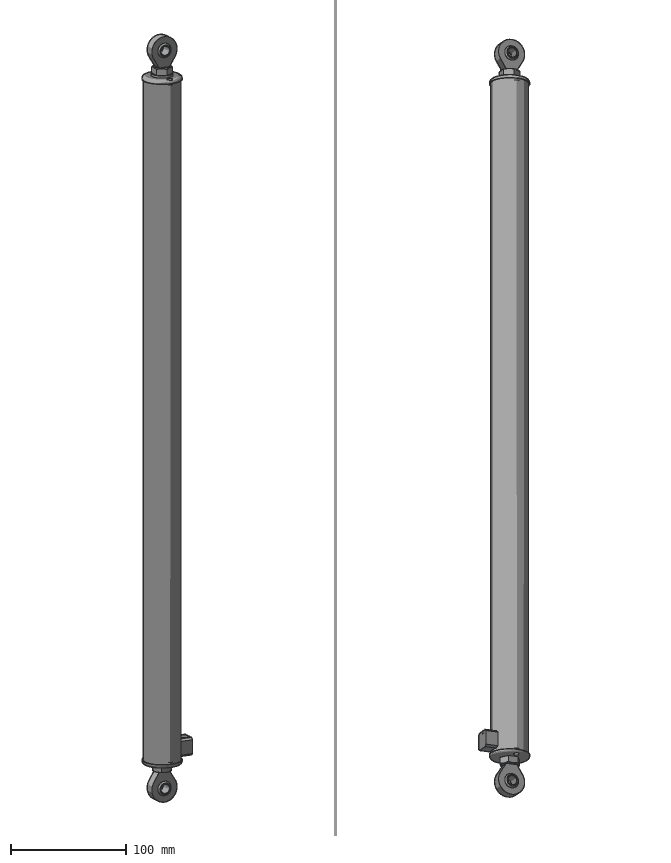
import cadquery as cq
import math

HALF_LENGTH = 344.5
SEAT_Z = 311.0

TUBE_RADIUS = 16.5
CAP_RADIUS = 17.6
CAP_THICKNESS = 3.5
CAP_FILLET = 3.0
GLAND_RADIUS = 9.5
GLAND_HEIGHT = 2.0
CAP_TOP_Z = SEAT_Z - GLAND_HEIGHT

SPANNER_HOLE_DIAMETER = 5.0
SPANNER_HOLE_DEPTH = 5.0
SPANNER_HOLE_OFFSET = 14.1

PORT_SIZE = 16.0
PORT_REACH = 25.8
PORT_CHAMFER = 1.7
PORT_Z = -297.0
PORT_HOLE_Y = 21.5
PORT_HOLE_STEPS = [(8.0, 2.0), (5.0, 4.0), (2.5, 7.0)]

NUT_FLATS = 16.0
NUT_HEIGHT = 6.0
NUT_TOP_RADIUS = 7.5
NUT_CHAMFER_ANGLE = 30
EYE_RADIUS = 12.5
EYE_THICKNESS = 9.0
NECK_WIDTH = 10.0
BALL_WIDTH = 12.0
BALL_FACE_DIAMETER = 10.0
BORE_DIAMETER = 8.0
EYE_Z = HALF_LENGTH - EYE_RADIUS
NUT_TOP_Z = SEAT_Z + NUT_HEIGHT


def disc(radius, bottom_z, height):
    """Solid cylinder on the Z axis."""
    return cq.Workplane("XY").workplane(offset=bottom_z).circle(radius).extrude(height)


def eye_plate():
    """Flat eye whose sides run tangentially from the round head down to the neck."""
    half_neck = NECK_WIDTH / 2
    neck_drop = EYE_Z - NUT_TOP_Z
    neck_distance = math.hypot(half_neck, neck_drop)
    tangent_angle = math.acos(EYE_RADIUS / neck_distance) - math.atan2(neck_drop, half_neck)
    tangent_y = EYE_RADIUS * math.cos(tangent_angle)
    tangent_z = EYE_RADIUS * math.sin(tangent_angle)
    return (
        cq.Workplane("YZ", origin=(0, 0, EYE_Z))
        .moveTo(-half_neck, -neck_drop)
        .lineTo(half_neck, -neck_drop)
        .lineTo(tangent_y, tangent_z)
        .threePointArc((0, EYE_RADIUS), (-tangent_y, tangent_z))
        .close()
        .extrude(EYE_THICKNESS / 2, both=True)
    )


def bearing_ball():
    """Ball with flat ends and a bore, turned about the X axis of the eye."""
    half_width = BALL_WIDTH / 2
    face_radius = BALL_FACE_DIAMETER / 2
    bore_radius = BORE_DIAMETER / 2
    ball_radius = math.hypot(half_width, face_radius)
    return (
        cq.Workplane("XY")
        .moveTo(-half_width, bore_radius)
        .lineTo(-half_width, face_radius)
        .threePointArc((0, ball_radius), (half_width, face_radius))
        .lineTo(half_width, bore_radius)
        .close()
        .revolve(360, (0, 0, 0), (1, 0, 0))
        .translate((0, 0, EYE_Z))
    )


def eye():
    """Eye plate and bearing ball with the bore through both."""
    bore = (
        cq.Workplane("YZ", origin=(0, 0, EYE_Z))
        .circle(BORE_DIAMETER / 2)
        .extrude(BALL_WIDTH, both=True)
    )
    return eye_plate().cut(bore).union(bearing_ball())


def nut():
    """Hexagon nut with chamfered top corners, two of its corners pointing along X."""
    hexagon = (
        cq.Workplane("XY")
        .workplane(offset=SEAT_Z)
        .polygon(6, NUT_FLATS, circumscribed=True)
        .extrude(NUT_HEIGHT)
        .rotate((0, 0, 0), (0, 0, 1), 90)
    )
    rim_radius = NUT_FLATS
    rim_drop = (rim_radius - NUT_TOP_RADIUS) * math.tan(math.radians(NUT_CHAMFER_ANGLE))
    chamfer_envelope = (
        cq.Workplane("XZ")
        .moveTo(0, SEAT_Z)
        .lineTo(rim_radius, SEAT_Z)
        .lineTo(rim_radius, NUT_TOP_Z - rim_drop)
        .lineTo(NUT_TOP_RADIUS, NUT_TOP_Z)
        .lineTo(0, NUT_TOP_Z)
        .close()
        .revolve(360, (0, 0, 0), (0, 1, 0))
    )
    return hexagon.intersect(chamfer_envelope)


def upside_down(part):
    """Turn an upper-end part over to the lower end."""
    return part.rotate((0, 0, 0), (1, 0, 0), 180)


def tube_with_caps():
    """Cylinder tube with a rounded cap at each end and the gland boss on top."""
    upper_cap = disc(CAP_RADIUS, CAP_TOP_Z - CAP_THICKNESS, CAP_THICKNESS)
    upper_cap = upper_cap.faces(">Z").edges().fillet(CAP_FILLET)
    lower_cap = disc(CAP_RADIUS, -SEAT_Z, CAP_THICKNESS)
    lower_cap = lower_cap.faces("<Z").edges().fillet(CAP_FILLET)
    tube_length = CAP_TOP_Z + SEAT_Z - 2 * CAP_THICKNESS
    tube = disc(TUBE_RADIUS, CAP_THICKNESS - SEAT_Z, tube_length)
    gland = disc(GLAND_RADIUS, CAP_TOP_Z, GLAND_HEIGHT)
    return tube.union(upper_cap).union(lower_cap).union(gland)


def spanner_holes(bottom_z):
    """Pair of blind-hole cutters for one cap."""
    return (
        cq.Workplane("XY")
        .workplane(offset=bottom_z)
        .pushPoints([(-SPANNER_HOLE_OFFSET, 0), (SPANNER_HOLE_OFFSET, 0)])
        .circle(SPANNER_HOLE_DIAMETER / 2)
        .extrude(SPANNER_HOLE_DEPTH)
    )


def port():
    """Square block with chamfered long edges and a stepped hole from the top."""
    block = (
        cq.Workplane("XZ", origin=(0, 0, PORT_Z))
        .rect(PORT_SIZE, PORT_SIZE)
        .extrude(-PORT_REACH)
        .edges("|Y")
        .chamfer(PORT_CHAMFER)
    )
    top_z = PORT_Z + PORT_SIZE / 2
    for diameter, depth in PORT_HOLE_STEPS:
        step = disc(diameter / 2, top_z - depth, depth).translate((0, PORT_HOLE_Y, 0))
        block = block.cut(step)
    return block


def cylinder_body():
    """Capped tube with its port and the lower end fitting, whose nut is turned by 90 degrees."""
    body = tube_with_caps()
    for hole_bottom_z in (CAP_TOP_Z - SPANNER_HOLE_DEPTH, -SEAT_Z):
        body = body.cut(spanner_holes(hole_bottom_z))
    lower_nut = upside_down(nut()).rotate((0, 0, 0), (0, 0, 1), 90)
    return body.union(port()).union(lower_nut).union(upside_down(eye()))


def rod_end():
    """Upper end fitting, seated on the gland boss."""
    return nut().union(eye())


cylinder = cylinder_body()
rod = rod_end()
result = cq.Compound.makeCompound([cylinder.val(), rod.val()])